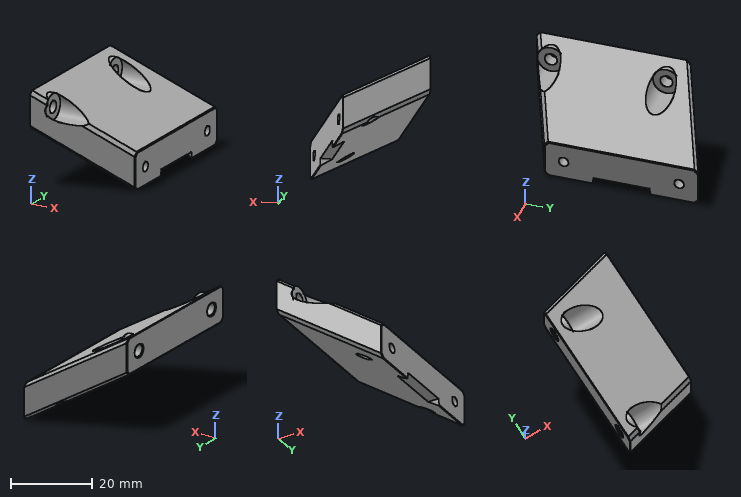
import cadquery as cq

bar_length = 24.25
end_width = 39.9
end_height = 9.95
side_shift = 10.1
drop = 15.0
long_edge_chamfer = 1.0
end_edge_chamfer = 0.2

hole_spacing = 29.9
screw_hole_diameter = 3.2
screw_hole_chamfer = 0.25
tapped_hole_diameter = 2.5

seat_diameter = 7.0
seat_x = 3.85
seat_root_x = 1.0

channel_bottom_width = 15.15
channel_top_width = 14.45
channel_height = 1.85

high_center_y = end_width / 2
high_center_z = drop + end_height / 2
low_center_y = high_center_y + side_shift
low_center_z = end_height / 2


def rod_x(diameter, x_start, x_end, y, z):
    """Cylinder parallel to X."""
    return cq.Workplane("YZ", origin=(x_start, y, z)).circle(diameter / 2).extrude(x_end - x_start)


def hole_centers_y(center_y):
    return (center_y - hole_spacing / 2, center_y + hole_spacing / 2)


def slanted_bar():
    path = cq.Workplane("XY").polyline([
        (0, high_center_y, high_center_z),
        (bar_length, low_center_y, low_center_z),
    ])
    half_width = end_width / 2
    half_height = end_height / 2
    inner_width = half_width - long_edge_chamfer
    inner_height = half_height - long_edge_chamfer
    section = [
        (-inner_width, -half_height),
        (inner_width, -half_height),
        (half_width, -inner_height),
        (half_width, inner_height),
        (inner_width, half_height),
        (-inner_width, half_height),
        (-half_width, inner_height),
        (-half_width, -inner_height),
    ]
    high_end = cq.Workplane("YZ", origin=(0, high_center_y, high_center_z)).polyline(section).close()
    bar = high_end.sweep(path)
    return bar.faces("<X or >X").edges().chamfer(end_edge_chamfer)


def screw_seat(bar, y):
    boss = rod_x(seat_diameter, seat_root_x, seat_x, y, high_center_z)
    head_space = rod_x(seat_diameter, seat_x, bar_length, y, high_center_z)
    hole = rod_x(screw_hole_diameter, 0, seat_x, y, high_center_z)
    mouth_radius = screw_hole_diameter / 2 + screw_hole_chamfer
    mouth = cq.Workplane(cq.Solid.makeCone(
        mouth_radius, screw_hole_diameter / 2, screw_hole_chamfer,
        pnt=cq.Vector(0, y, high_center_z), dir=cq.Vector(1, 0, 0),
    ))
    return bar.union(boss).cut(head_space).cut(hole).cut(mouth)


def edge_channel():
    half_bottom = channel_bottom_width / 2
    half_top = channel_top_width / 2
    return (
        cq.Workplane("YZ", origin=(0, low_center_y, 0))
        .polyline([
            (-half_bottom, 0),
            (half_bottom, 0),
            (half_top, channel_height),
            (-half_top, channel_height),
        ])
        .close()
        .extrude(bar_length)
    )


result = slanted_bar()
for hole_y in hole_centers_y(high_center_y):
    result = screw_seat(result, hole_y)
for hole_y in hole_centers_y(low_center_y):
    result = result.cut(rod_x(tapped_hole_diameter, 0, bar_length, hole_y, low_center_z))
result = result.cut(edge_channel())